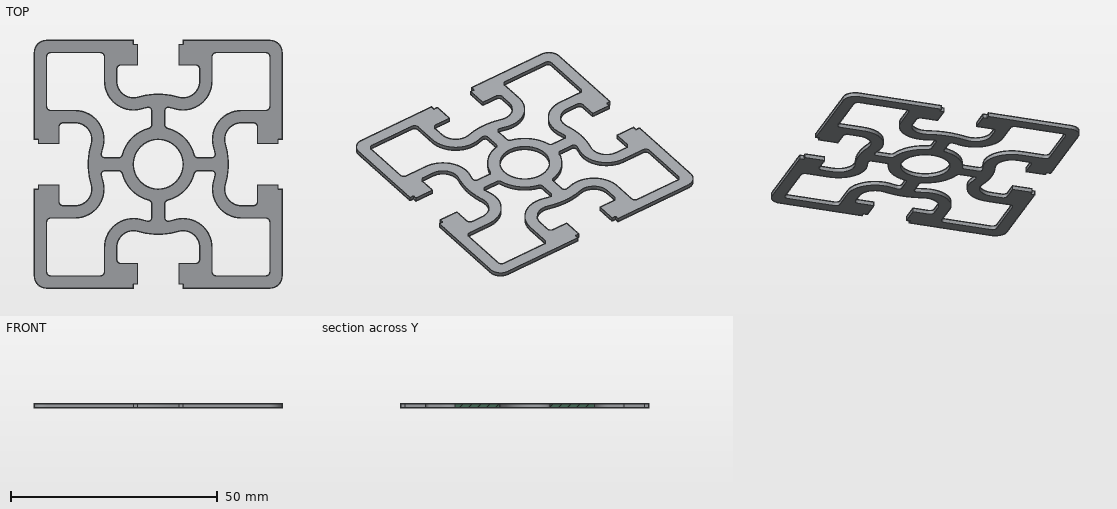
import cadquery as cq
import math

side = 60.0
thickness = 1.0
wall = 3.0
corner_radius = 3.0

bore_diameter = 12.0
ring_outer_radius = bore_diameter / 2 + wall
web_half_width = 1.6

mouth_half_width = 5.0
step_half_width = 6.0
step_depth = 1.0
lip_thickness = 6.0
cavity_half_width = 10.0
cavity_corner_radius = 1.0
bend_radius = 4.0
dome_radius = 17.0

chamber_corner_radius = 1.0
web_corner_radius = 0.8

half = side / 2
lip_face = half - lip_thickness

bend_x = cavity_half_width - bend_radius
bend_y = math.sqrt((dome_radius + bend_radius) ** 2 - bend_x ** 2)
bend_angle = math.atan2(bend_x, bend_y)

chamber_near = cavity_half_width + wall
chamber_far = half - wall
outer_bend_radius = bend_radius + wall
inner_dome_radius = dome_radius - wall


def polar(radius, angle):
    """Point at a radius from the origin, with the angle measured from +Y towards +X."""
    return (radius * math.sin(angle), radius * math.cos(angle))


def bend_middle(radius):
    """Middle of the right-hand bend, which turns from the side wall onto the dome."""
    direction = (math.pi / 2 + math.pi + bend_angle) / 2
    offset_x, offset_y = polar(radius, direction)
    return (bend_x + offset_x, bend_y + offset_y)


def swap(point):
    """Mirror a point across the diagonal Y = X."""
    return (point[1], point[0])


def mirror_x(point):
    """Mirror a point across the Y axis."""
    return (-point[0], point[1])


def round_corners(body, points, radius):
    """Fillet the upright edges that stand on the given points."""
    for x, y in points:
        edge = cq.selectors.NearestToPointSelector((x, y, thickness / 2))
        body = body.edges("|Z").edges(edge).fillet(radius)
    return body


def make_slot():
    """Cutter for the slot that opens on the +Y side."""
    dome_end = polar(dome_radius, bend_angle)
    cavity_corner = (cavity_half_width, lip_face)
    slot = (
        cq.Workplane("XY")
        .moveTo(-step_half_width, half)
        .lineTo(step_half_width, half)
        .lineTo(step_half_width, half - step_depth)
        .lineTo(mouth_half_width, half - step_depth)
        .lineTo(mouth_half_width, lip_face)
        .lineTo(*cavity_corner)
        .lineTo(cavity_half_width, bend_y)
        .threePointArc(bend_middle(bend_radius), dome_end)
        .threePointArc((0, dome_radius), mirror_x(dome_end))
        .threePointArc(mirror_x(bend_middle(bend_radius)), (-cavity_half_width, bend_y))
        .lineTo(-cavity_half_width, lip_face)
        .lineTo(-mouth_half_width, lip_face)
        .lineTo(-mouth_half_width, half - step_depth)
        .lineTo(-step_half_width, half - step_depth)
        .close()
        .extrude(thickness)
    )
    return round_corners(slot, [cavity_corner, mirror_x(cavity_corner)], cavity_corner_radius)


def make_chamber():
    """Cutter for the chamber in the +X +Y corner, symmetric about Y = X."""
    dome_start = polar(inner_dome_radius, bend_angle)
    web_angle = math.asin(web_half_width / inner_dome_radius)
    dome_middle = polar(inner_dome_radius, (bend_angle + web_angle) / 2)
    web_top = polar(inner_dome_radius, web_angle)
    web_foot = polar(ring_outer_radius, math.asin(web_half_width / ring_outer_radius))
    ring_middle = polar(ring_outer_radius, math.pi / 4)
    bend_start = (chamber_near, bend_y)
    near_corner = (chamber_near, chamber_far)
    far_corner = (chamber_far, chamber_far)
    chamber = (
        cq.Workplane("XY")
        .moveTo(*far_corner)
        .lineTo(*near_corner)
        .lineTo(*bend_start)
        .threePointArc(bend_middle(outer_bend_radius), dome_start)
        .threePointArc(dome_middle, web_top)
        .lineTo(*web_foot)
        .threePointArc(ring_middle, swap(web_foot))
        .lineTo(*swap(web_top))
        .threePointArc(swap(dome_middle), swap(dome_start))
        .threePointArc(swap(bend_middle(outer_bend_radius)), swap(bend_start))
        .lineTo(*swap(near_corner))
        .close()
        .extrude(thickness)
    )
    chamber_corners = [far_corner, near_corner, swap(near_corner)]
    web_corners = [web_top, web_foot, swap(web_top), swap(web_foot)]
    chamber = round_corners(chamber, chamber_corners, chamber_corner_radius)
    return round_corners(chamber, web_corners, web_corner_radius)


plate = cq.Workplane("XY").rect(side, side).extrude(thickness).edges("|Z").fillet(corner_radius)
plate = plate.cut(cq.Workplane("XY").circle(bore_diameter / 2).extrude(thickness))

slot = make_slot()
chamber = make_chamber()
for angle in (0, 90, 180, 270):
    plate = plate.cut(slot.rotate((0, 0, 0), (0, 0, 1), angle))
    plate = plate.cut(chamber.rotate((0, 0, 0), (0, 0, 1), angle))

result = plate